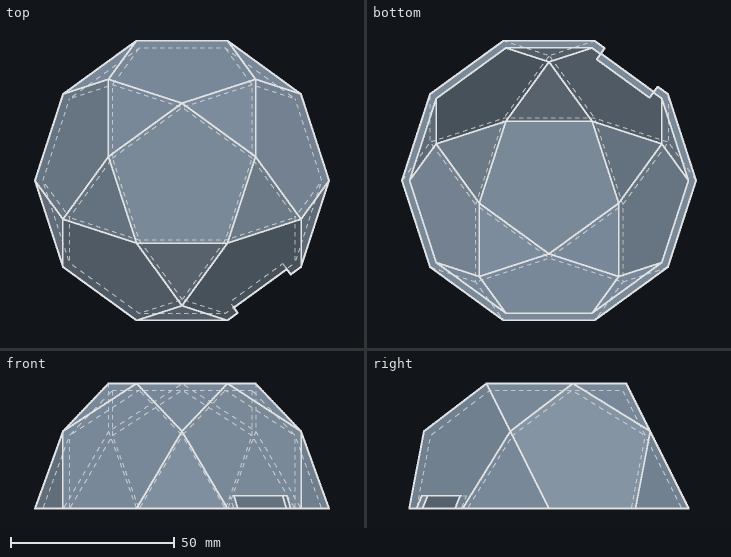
import math

import cadquery as cq

OUTER_RADIUS = 45.0
WALL_THICKNESS = 2.0
NOTCH_WIDTH = 20.0
NOTCH_HEIGHT = 4.0
NOTCH_DIRECTION = -54.0

TOP_VERTEX_ANGLE = 90.0
GOLDEN_RATIO = (1 + math.sqrt(5)) / 2
PENTAGON_CORNERS = 5
DECAGON_CORNERS = 2 * PENTAGON_CORNERS
SECTOR = 360.0 / PENTAGON_CORNERS
HALF_SECTOR = SECTOR / 2
QUARTER_SECTOR = SECTOR / 4


def polar_point(radius, angle, height):
    """Point at a radius and an angle in degrees around Z, at a height."""
    turn = math.radians(angle)
    return cq.Vector(radius * math.cos(turn), radius * math.sin(turn), height)


def flat_face(points):
    return cq.Face.makeFromWires(cq.Wire.makePolygon(points, close=True))


def pentagon_radius(vertex_radius):
    """Radius of the circle through the corners of each pentagonal face."""
    edge_length = vertex_radius / GOLDEN_RATIO
    return edge_length / (2 * math.sin(math.radians(HALF_SECTOR)))


def pentagon_distance(vertex_radius):
    """Distance from the origin to the plane of each pentagonal face."""
    return math.sqrt(vertex_radius**2 - pentagon_radius(vertex_radius) ** 2)


def rotunda(vertex_radius):
    """Solid rotunda standing on Z = 0, with all vertices at vertex_radius from the origin."""
    top_radius = pentagon_radius(vertex_radius)
    top_height = pentagon_distance(vertex_radius)
    middle_radius = top_height
    middle_height = top_radius

    def top(angle):
        return polar_point(top_radius, angle, top_height)

    def middle(angle):
        return polar_point(middle_radius, angle, middle_height)

    def base(angle):
        return polar_point(vertex_radius, angle, 0)

    pentagon_angles = [TOP_VERTEX_ANGLE + SECTOR * index for index in range(PENTAGON_CORNERS)]
    faces = [
        flat_face([top(angle) for angle in pentagon_angles]),
        flat_face([base(HALF_SECTOR * index) for index in range(DECAGON_CORNERS)]),
    ]
    for angle in pentagon_angles:
        base_right = base(angle - QUARTER_SECTOR)
        base_left = base(angle + QUARTER_SECTOR)
        middle_right = middle(angle - HALF_SECTOR)
        middle_left = middle(angle + HALF_SECTOR)
        next_base = base(angle + SECTOR - QUARTER_SECTOR)
        side_pentagon = [base_right, base_left, middle_left, top(angle), middle_right]
        lower_triangle = [base_left, next_base, middle_left]
        upper_triangle = [top(angle), middle_left, top(angle + SECTOR)]
        faces += [flat_face(side_pentagon), flat_face(lower_triangle), flat_face(upper_triangle)]
    return cq.Workplane(cq.Solid.makeSolid(cq.Shell.makeShell(faces)))


def rim_notch():
    """Block reaching from the Z axis out through the rim on one side."""
    block = cq.Workplane().box(OUTER_RADIUS, NOTCH_WIDTH, NOTCH_HEIGHT, centered=(False, True, False))
    return block.rotate((0, 0, 0), (0, 0, 1), NOTCH_DIRECTION)


outer_shape = rotunda(OUTER_RADIUS)
cavity_scale = 1 - WALL_THICKNESS / pentagon_distance(OUTER_RADIUS)
cavity = rotunda(OUTER_RADIUS * cavity_scale)
result = outer_shape.cut(cavity).cut(rim_notch()).solids()